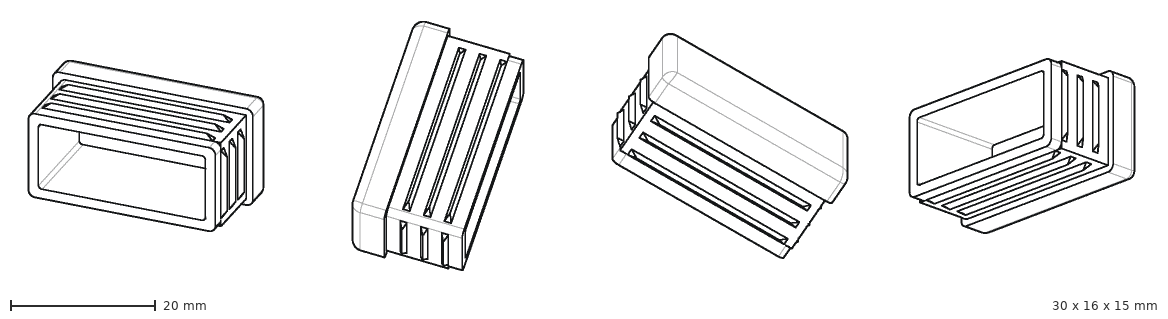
import cadquery as cq


CAP_X = 30.0
CAP_Z = 15.0
CAP_THICKNESS = 5.0
CAP_CORNER_RADIUS = 1.0
CAP_EDGE_RADIUS = 1.5

BODY_LENGTH = 10.98
CAP_OVERHANG = 1.0
BODY_X = CAP_X - 2 * CAP_OVERHANG
BODY_Z = CAP_Z - 2 * CAP_OVERHANG
BODY_CORNER_RADIUS = 1.0
WALL = 1.5
CAVITY_CORNER_RADIUS = 0.5

RIB_COUNT = 3
RIB_PITCH = 3.0
RIB_WIDTH = 1.0
RIB_HEIGHT = 0.75
RIB_END_GAP = 1.25
RIB_END_SLOPE = 1.1

TOTAL_LENGTH = BODY_LENGTH + CAP_THICKNESS
OPEN_END_Y = -TOTAL_LENGTH / 2
CAP_START_Y = OPEN_END_Y + BODY_LENGTH
RIB_MIDDLE_Y = OPEN_END_Y + BODY_LENGTH / 2
LAST_RIB_OFFSET = (RIB_COUNT - 1) / 2 * RIB_PITCH
LEAD_IN_LENGTH = BODY_LENGTH / 2 - LAST_RIB_OFFSET - RIB_WIDTH / 2


def block(size_x, size_z, start_y, length):
    """Box centred on the Y axis that runs from start_y toward +Y."""
    return cq.Workplane("XY").box(size_x, length, size_z).translate((0, start_y + length / 2, 0))


def make_cap():
    cap = block(CAP_X, CAP_Z, CAP_START_Y, CAP_THICKNESS)
    cap = cap.edges("|Y").fillet(CAP_CORNER_RADIUS)
    return cap.faces(">Y").edges().fillet(CAP_EDGE_RADIUS)


def make_body():
    """Body rounded at all corners near the open end, then only at the -X +Z corner."""
    lead_in = block(BODY_X, BODY_Z, OPEN_END_Y, LEAD_IN_LENGTH)
    lead_in = lead_in.edges("|Y").fillet(BODY_CORNER_RADIUS)
    main = block(BODY_X, BODY_Z, OPEN_END_Y + LEAD_IN_LENGTH, BODY_LENGTH - LEAD_IN_LENGTH)
    main = main.edges("|Y").edges("<X").edges(">Z").fillet(BODY_CORNER_RADIUS)
    return lead_in.union(main)


def make_cavity():
    cavity = block(BODY_X - 2 * WALL, BODY_Z - 2 * WALL, OPEN_END_Y, TOTAL_LENGTH - WALL)
    return cavity.edges("|Y").fillet(CAVITY_CORNER_RADIUS)


def make_rib(length):
    """Roof-shaped rib along X with sloped ends, standing on Z = 0."""
    half_width = RIB_WIDTH / 2
    half_length = length / 2
    ridge_half_length = half_length - RIB_END_SLOPE
    prism = (
        cq.Workplane("YZ")
        .polyline([(-half_width, 0), (half_width, 0), (0, RIB_HEIGHT)])
        .close()
        .extrude(half_length, both=True)
    )
    side_outline = (
        cq.Workplane("XZ")
        .polyline([
            (-half_length, 0),
            (half_length, 0),
            (ridge_half_length, RIB_HEIGHT),
            (-ridge_half_length, RIB_HEIGHT),
        ])
        .close()
        .extrude(half_width, both=True)
    )
    return prism.intersect(side_outline)


def add_ribs(plug):
    """Put one row of ribs on each of the four side faces of the body."""
    for angle in (0, 90, 180, 270):
        on_wide_face = angle % 180 == 0
        face_width = BODY_X if on_wide_face else BODY_Z
        face_height = (BODY_Z if on_wide_face else BODY_X) / 2
        rib = make_rib(face_width - 2 * RIB_END_GAP).translate((0, 0, face_height))
        rib = rib.rotate((0, 0, 0), (0, 1, 0), angle)
        for index in range(RIB_COUNT):
            rib_y = RIB_MIDDLE_Y - LAST_RIB_OFFSET + index * RIB_PITCH
            plug = plug.union(rib.translate((0, rib_y, 0)))
    return plug


solid_plug = add_ribs(make_cap().union(make_body()))
result = solid_plug.cut(make_cavity())